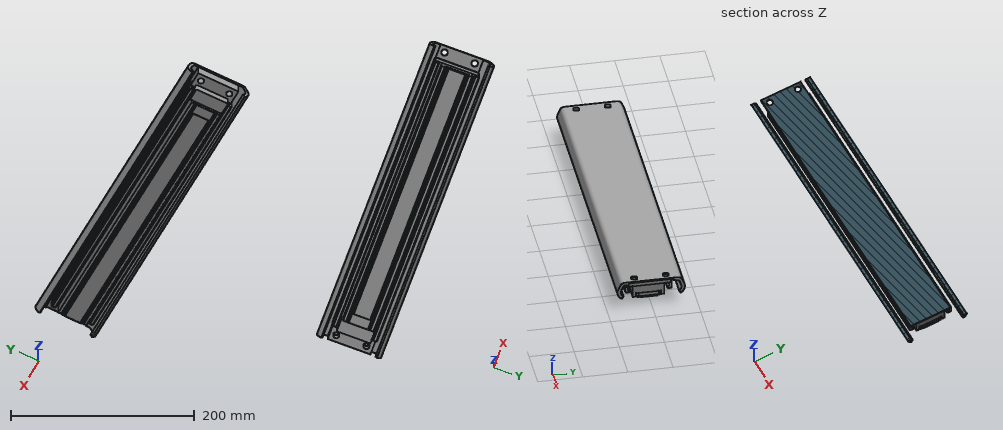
import cadquery as cq
import math


LENGTH = 350.0
COVER_WIDTH = 75.0
TOTAL_HEIGHT = 32.0
COVER_THICKNESS = 4.0
SHOULDER_RADIUS = 5.5
SHOULDER_Y = 29.0
CURL_RADIUS = 9.5
CURL_CENTRE_Z = -12.5
CURL_CENTRE_Y = COVER_WIDTH / 2 - CURL_RADIUS
LIP_ANGLE = -62.0

HOLE_END_DISTANCE = 7.5
START_HOLE_DIAMETER = 6.5
START_HOLE_X = HOLE_END_DISTANCE
END_HOLE_DIAMETER = 7.0
END_HOLE_X = LENGTH - HOLE_END_DISTANCE
HOLE_SPACING_Y = 35.0

RELIEF_DEPTH = 2.0

HEAD_START = 14.0
SIDE_RAIL_START = 17.5
INNER_START = 28.7
PAD_START = 40.0
SLIDE_END = 334.5

OUTER_WIDTH = 49.7
OUTER_BOTTOM = -16.5
BEAD_TOP = -6.5
BEAD_HEIGHT = 2.8
BEAD_PROJECTION = 1.0

SIDE_RAIL_OUTER_Y = 26.0
SIDE_RAIL_INNER_Y = 20.5
SIDE_RAIL_BOTTOM = -23.8
SIDE_RAIL_CHAMFER = 1.0
RACE_DIAMETER = 5.0
RACE_Z = -19.0

HEAD_WIDTH = 39.2
MIDDLE_WIDTH = 35.0
MIDDLE_BOTTOM = -26.0
MIDDLE_CORNER_RADIUS = 1.0
LEG_THICKNESS = 3.5
LEG_BOTTOM = -30.5

TRAY_WIDTH = 27.0
TRAY_WALL = 2.5
TRAY_FLOOR = 1.0
TRAY_BOTTOM = -31.0
TRAY_CHAMFER = 1.5
PAD_WIDTH = 19.0


def box(x_start, x_end, y_start, y_end, z_bottom, z_top):
    """Axis-aligned box between the given limits."""
    size = (x_end - x_start, y_end - y_start, z_top - z_bottom)
    return cq.Workplane("XY").box(*size, centered=False).translate((x_start, y_start, z_bottom))


def centred_box(x_start, x_end, width, z_bottom, z_top):
    """Box that is symmetric about Y = 0."""
    return box(x_start, x_end, -width / 2, width / 2, z_bottom, z_top)


def polar(centre, radius, angle):
    """Point at an angle in degrees, measured from +Y towards +Z."""
    turn = math.radians(angle)
    return (centre[0] + radius * math.cos(turn), centre[1] + radius * math.sin(turn))


def cover_half():
    """Half of the cover on the +Y side: plate, shoulder bend, sloping flank and curl."""
    shoulder = (SHOULDER_Y, -SHOULDER_RADIUS)
    curl = (CURL_CENTRE_Y, CURL_CENTRE_Z)
    dy = shoulder[0] - curl[0]
    dz = shoulder[1] - curl[1]
    lift = math.asin((CURL_RADIUS - SHOULDER_RADIUS) / math.hypot(dy, dz))
    flank_angle = math.degrees(lift - math.atan2(dy, dz))
    bend_angle = (90 + flank_angle) / 2
    curl_angle = (flank_angle + LIP_ANGLE) / 2
    shoulder_inside = SHOULDER_RADIUS - COVER_THICKNESS
    curl_inside = CURL_RADIUS - COVER_THICKNESS
    return (
        cq.Workplane("YZ")
        .moveTo(0, 0)
        .lineTo(SHOULDER_Y, 0)
        .threePointArc(
            polar(shoulder, SHOULDER_RADIUS, bend_angle),
            polar(shoulder, SHOULDER_RADIUS, flank_angle),
        )
        .lineTo(*polar(curl, CURL_RADIUS, flank_angle))
        .threePointArc(polar(curl, CURL_RADIUS, curl_angle), polar(curl, CURL_RADIUS, LIP_ANGLE))
        .lineTo(*polar(curl, curl_inside, LIP_ANGLE))
        .threePointArc(polar(curl, curl_inside, curl_angle), polar(curl, curl_inside, flank_angle))
        .lineTo(*polar(shoulder, shoulder_inside, flank_angle))
        .threePointArc(polar(shoulder, shoulder_inside, bend_angle), (SHOULDER_Y, -COVER_THICKNESS))
        .lineTo(0, -COVER_THICKNESS)
        .close()
        .extrude(LENGTH)
    )


def hole_pair(x, diameter):
    """Cutters for two screw holes across the width, reaching down to the outer block's bottom."""
    return (
        cq.Workplane("XY")
        .center(x, 0)
        .rarray(3.5, HOLE_SPACING_Y, 1, 2)
        .circle(diameter / 2)
        .extrude(OUTER_BOTTOM)
    )


def make_cover():
    half = cover_half()
    cover = half.union(half.mirror("XZ")).clean()
    start_holes = hole_pair(START_HOLE_X, START_HOLE_DIAMETER)
    end_holes = hole_pair(END_HOLE_X, END_HOLE_DIAMETER)
    relief_top = RELIEF_DEPTH - COVER_THICKNESS
    relief = centred_box(SLIDE_END, LENGTH, OUTER_WIDTH, -COVER_THICKNESS, relief_top)
    return cover.cut(relief).cut(start_holes).cut(end_holes)


def make_outer_block():
    """Block under the cover, drilled at its -X end, with a narrow bead along both flanks."""
    block = centred_box(0, SLIDE_END, OUTER_WIDTH, OUTER_BOTTOM, -COVER_THICKNESS)
    bead_width = OUTER_WIDTH + 2 * BEAD_PROJECTION
    beads = centred_box(SIDE_RAIL_START, SLIDE_END, bead_width, BEAD_TOP - BEAD_HEIGHT, BEAD_TOP)
    return block.union(beads).cut(hole_pair(START_HOLE_X, START_HOLE_DIAMETER))


def make_side_rail(side):
    """Rail on the +Y (side = 1) or -Y (side = -1) flank, with a round race facing inward."""
    rail = (
        box(SIDE_RAIL_START, SLIDE_END, SIDE_RAIL_INNER_Y, SIDE_RAIL_OUTER_Y, SIDE_RAIL_BOTTOM, OUTER_BOTTOM)
        .edges("|X and <Z")
        .chamfer(SIDE_RAIL_CHAMFER)
    )
    race = (
        cq.Workplane("YZ", origin=(SIDE_RAIL_START, 0, 0))
        .center(SIDE_RAIL_INNER_Y, RACE_Z)
        .circle(RACE_DIAMETER / 2)
        .extrude(SLIDE_END - SIDE_RAIL_START)
    )
    rail = rail.cut(race)
    return rail if side > 0 else rail.mirror("XZ")


def make_middle_block():
    """Wide head and narrower body, with a leg along each side of the inner tray."""
    head = centred_box(HEAD_START, INNER_START, HEAD_WIDTH, MIDDLE_BOTTOM, OUTER_BOTTOM)
    head = head.edges("|Z and <X").fillet(MIDDLE_CORNER_RADIUS)
    body = centred_box(INNER_START, SLIDE_END, MIDDLE_WIDTH, LEG_BOTTOM, OUTER_BOTTOM)
    space_width = MIDDLE_WIDTH - 2 * LEG_THICKNESS
    space = centred_box(INNER_START, SLIDE_END, space_width, LEG_BOTTOM, MIDDLE_BOTTOM)
    return head.union(body.cut(space))


def make_core():
    core_width = TRAY_WIDTH - 2 * TRAY_WALL
    return centred_box(INNER_START, SLIDE_END, core_width, TRAY_BOTTOM + TRAY_FLOOR, MIDDLE_BOTTOM)


def make_tray(core):
    """Tray around the core, with a raised pad along its underside."""
    tray = (
        centred_box(INNER_START, SLIDE_END, TRAY_WIDTH, TRAY_BOTTOM, MIDDLE_BOTTOM)
        .edges("|X and <Z")
        .chamfer(TRAY_CHAMFER)
        .cut(core)
    )
    pad = centred_box(PAD_START, SLIDE_END, PAD_WIDTH, -TOTAL_HEIGHT, TRAY_BOTTOM)
    return tray.union(pad)


cover = make_cover()
outer_block = make_outer_block()
side_rails = [make_side_rail(side) for side in (1, -1)]
middle_block = make_middle_block()
core = make_core()
tray = make_tray(core)

bodies = [cover, outer_block, *side_rails, middle_block, core, tray]
result = cq.Compound.makeCompound([body.val() for body in bodies])